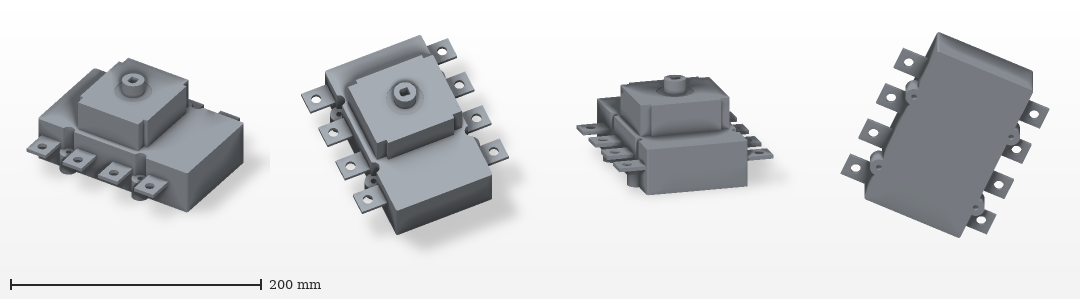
import cadquery as cq

BODY_LENGTH = 142.0
BODY_WIDTH = 83.9
BODY_HEIGHT = 38.0
BODY_EDGE_RADIUS = 1.7

AXIS_X = -7.2

POLE_COUNT = 4
POLE_PITCH = 34.0
TAB_SPAN = 128.0
TAB_WIDTH = 18.2
TAB_THICKNESS = 3.1
TAB_BOTTOM = 20.2
TAB_HOLE_DIAMETER = 8.0
TAB_HOLE_Y = (TAB_SPAN - TAB_WIDTH) / 2

BOSS_DIAMETER = 14.2
BOSS_HEIGHT = 17.0
BOSS_SPACING_X = 2 * POLE_PITCH
BOSS_SPACING_Y = 84.9
BOSS_HOLE_DIAMETER = 4.5
GROOVE_DIAMETER = 10.0

COVER_LENGTH = 63.9
COVER_WIDTH = 74.0
COVER_HEIGHT = 26.0
COVER_TOP = BODY_HEIGHT + COVER_HEIGHT
NOTCH_LENGTH = 3.4
NOTCH_WIDTH = 8.2

RECESS_DIAMETER = 30.1
RECESS_DEPTH = 0.5
RECESS_FLOOR = COVER_TOP - RECESS_DEPTH

TOTAL_HEIGHT = 75.0
SHAFT_DIAMETER = 17.9
SHAFT_HEIGHT = TOTAL_HEIGHT - RECESS_FLOOR
SOCKET_SIZE = 7.0
SOCKET_DEPTH = SHAFT_HEIGHT
KEY_WIDTH = 4.5
KEY_DEPTH = 1.0


def plane_at(height):
    """Horizontal workplane centred on the mechanism axis."""
    return cq.Workplane("XY").workplane(offset=height).center(AXIS_X, 0)


def make_body():
    block = cq.Workplane("XY").box(BODY_LENGTH, BODY_WIDTH, BODY_HEIGHT, centered=(True, True, False))
    return block.edges("|Z").fillet(BODY_EDGE_RADIUS)


def boss_points(height):
    return plane_at(height).rarray(BOSS_SPACING_X, BOSS_SPACING_Y, 2, 2)


def add_bosses(part):
    grooves = boss_points(BOSS_HEIGHT).circle(GROOVE_DIAMETER / 2).extrude(BODY_HEIGHT - BOSS_HEIGHT)
    bosses = boss_points(0).circle(BOSS_DIAMETER / 2).extrude(BOSS_HEIGHT)
    holes = boss_points(0).circle(BOSS_HOLE_DIAMETER / 2).extrude(BOSS_HEIGHT)
    return part.cut(grooves).union(bosses).cut(holes)


def make_terminals():
    bars = (
        plane_at(TAB_BOTTOM)
        .rarray(POLE_PITCH, 1.4, POLE_COUNT, 1)
        .rect(TAB_WIDTH, TAB_SPAN)
        .extrude(TAB_THICKNESS)
    )
    holes = (
        plane_at(TAB_BOTTOM)
        .rarray(POLE_PITCH, 2 * TAB_HOLE_Y, POLE_COUNT, 2)
        .circle(TAB_HOLE_DIAMETER / 2)
        .extrude(TAB_THICKNESS)
    )
    return bars.cut(holes)


def make_cover():
    notched_width = COVER_WIDTH - 2 * NOTCH_WIDTH
    notched_length = COVER_LENGTH - 2 * NOTCH_LENGTH
    long_block = plane_at(BODY_HEIGHT).rect(COVER_LENGTH, notched_width).extrude(COVER_HEIGHT)
    wide_block = plane_at(BODY_HEIGHT).rect(notched_length, COVER_WIDTH).extrude(COVER_HEIGHT)
    recess = plane_at(RECESS_FLOOR).circle(RECESS_DIAMETER / 2).extrude(RECESS_DEPTH)
    return long_block.union(wide_block).cut(recess)


def make_shaft():
    return plane_at(RECESS_FLOOR).circle(SHAFT_DIAMETER / 2).extrude(SHAFT_HEIGHT)


def make_socket():
    square = plane_at(TOTAL_HEIGHT).rect(SOCKET_SIZE, SOCKET_SIZE).extrude(-SOCKET_DEPTH)
    key_y = -(SOCKET_SIZE + KEY_DEPTH) / 2
    key = plane_at(TOTAL_HEIGHT).center(0, key_y).rect(KEY_WIDTH, KEY_DEPTH).extrude(-SOCKET_DEPTH)
    return square.union(key)


housing = add_bosses(make_body())
result = housing.union(make_terminals()).union(make_cover()).union(make_shaft()).cut(make_socket())